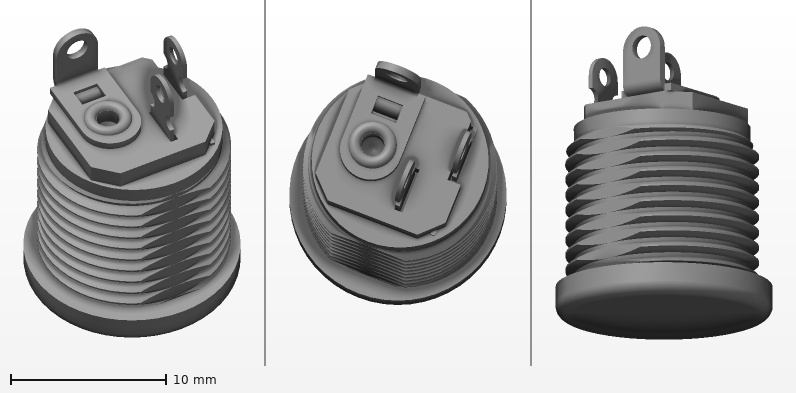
import cadquery as cq

FLANGE_RADIUS = 7.0
FLANGE_HEIGHT = 2.0
FLANGE_OFFSET_Y = -0.15
FLANGE_FILLET = 0.75

MAJOR_RADIUS = 6.25
CORE_RADIUS = 5.7
FLAT_HALF_WIDTH = CORE_RADIUS
PITCH = 1.0
CREST_WIDTH = PITCH / 8
ROOT_GAP = PITCH / 4
CREST_PHASE = PITCH / 4
ROOT_OVERLAP = 0.1
THREAD_TOP = 11.5
LIMIT_MARGIN = 0.1
COLLAR_TOP = 12.5

BLOCK_TOP = 13.7
BLOCK_HALF_WIDTH = 4.35
BLOCK_BACK = 4.3
BLOCK_FRONT = -4.7
BLOCK_CHAMFER = 1.4
NOTCH_RIGHT = 0.27
NOTCH_FRONT = 3.38

LUG_WIDTH = 2.7
LUG_THICKNESS = 0.3
LUG_HOLE_DIAMETER = 1.2
LUG_HOLE_RISE = 0.1
LUG_BITE_DIAMETER = 1.2
LUG_BITE_DROP = 1.45
REAR_LUG_X = -1.37
REAR_LUG_FRONT = 3.58
REAR_LUG_ARC_Z = 16.05
MIDDLE_LUG_X = 1.86
MIDDLE_LUG_FRONT = 0.92
MIDDLE_LUG_ARC_Z = 16.65
STRIP_HALF_LENGTH = 3.8
STRIP_HEIGHT = 0.2
COLLAR_SLOT_DEPTH = 1.0
LUG_SLOT_LEFT = 0.31
LUG_SLOT_RIGHT = 3.33
LUG_SLOT_BACK = 1.46

CONTACT_Y = -1.9
PLATE_THICKNESS = 0.5
PLATE_TOP = BLOCK_TOP + PLATE_THICKNESS
PLATE_LEFT = -4.23
PLATE_ARC_X = 0.3
PLATE_HALF_WIDTH = 2.0
BEND_INNER_RADIUS = 0.25
BEND_OUTER_RADIUS = BEND_INNER_RADIUS + PLATE_THICKNESS
BENT_LUG_LEFT = -4.71
BENT_LUG_WIDTH = 3.0
BENT_LUG_TOP = 18.1
BENT_LUG_HOLE_DIAMETER = 1.5
BENT_LUG_HOLE_RISE = 0.15

WINDOW_LEFT = -3.15
WINDOW_RIGHT = -1.9
WINDOW_WIDTH = 1.73
TONGUE_BEND_X = -2.9
TONGUE_DROP = 0.25
TONGUE_TOP = PLATE_TOP - TONGUE_DROP
TONGUE_FACE_X = TONGUE_BEND_X + PLATE_THICKNESS
TONGUE_SLOT_RIGHT = -2.19

RIVET_OUTER_RADIUS = 1.57
RIVET_HOLE_RADIUS = 0.75
RIVET_TOP = 14.5
ROLL_RADIUS = (RIVET_OUTER_RADIUS - RIVET_HOLE_RADIUS) / 2
ROLL_CENTER_Z = RIVET_TOP - ROLL_RADIUS
RIVET_HOLE_DEPTH = 1.0
RIVET_CONE_DEPTH = 0.4


def box(x_min, x_max, y_min, y_max, z_min, z_max):
    """Axis-aligned box between the given limits."""
    size = (x_max - x_min, y_max - y_min, z_max - z_min)
    return cq.Workplane("XY").box(*size, centered=False).translate((x_min, y_min, z_min))


def cylinder_y(diameter, x, z, y_min, y_max):
    """Cylinder along Y."""
    circle = cq.Workplane("XZ", origin=(x, y_min, z)).circle(diameter / 2)
    return circle.extrude(y_min - y_max)


def make_flange():
    disc = cq.Workplane("XY").center(0, FLANGE_OFFSET_Y).circle(FLANGE_RADIUS).extrude(FLANGE_HEIGHT)
    return disc.faces("<Z").edges().fillet(FLANGE_FILLET)


def make_thread_limits():
    """Space open to the thread: between the flats, with a 45 degree lead-in at the top."""
    limit_radius = MAJOR_RADIUS + LIMIT_MARGIN
    lead_in = limit_radius - CORE_RADIUS
    space = cq.Workplane("XY", origin=(0, 0, FLANGE_HEIGHT)).circle(limit_radius)
    space = space.extrude(THREAD_TOP - FLANGE_HEIGHT).faces(">Z").edges().chamfer(lead_in)
    flats = box(-FLAT_HALF_WIDTH, FLAT_HALF_WIDTH, -FLANGE_RADIUS, FLANGE_RADIUS,
                FLANGE_HEIGHT, THREAD_TOP)
    return space.intersect(flats)


def make_thread_ridge():
    """Right-handed 60 degree ridge, trimmed to the flats and to the threaded length."""
    depth = MAJOR_RADIUS - CORE_RADIUS
    half_crest = CREST_WIDTH / 2
    half_base = (PITCH - ROOT_GAP) / 2
    half_buried = half_base + (half_base - half_crest) * ROOT_OVERLAP / depth
    buried_radius = CORE_RADIUS - ROOT_OVERLAP
    start_z = FLANGE_HEIGHT - PITCH
    turns_height = THREAD_TOP + PITCH - start_z

    helix = cq.Wire.makeHelix(PITCH, turns_height, CORE_RADIUS)
    profile = cq.Workplane("XZ").polyline([
        (buried_radius, -half_buried),
        (MAJOR_RADIUS, -half_crest),
        (MAJOR_RADIUS, half_crest),
        (buried_radius, half_buried),
    ]).close()
    ridge = profile.sweep(cq.Workplane(obj=helix), isFrenet=True)
    ridge = ridge.rotate((0, 0, 0), (0, 0, 1), 180)
    ridge = ridge.translate((0, 0, start_z + CREST_PHASE))
    return ridge.intersect(make_thread_limits())


def make_barrel():
    core = cq.Workplane("XY").circle(CORE_RADIUS).extrude(COLLAR_TOP)
    return core.union(make_thread_ridge())


def make_contact_window(right, z_min, z_max):
    """Space above and beside the tongue, open to the given right end."""
    half_width = WINDOW_WIDTH / 2
    return box(WINDOW_LEFT, right, CONTACT_Y - half_width, CONTACT_Y + half_width, z_min, z_max)


def make_block():
    block = box(-BLOCK_HALF_WIDTH, BLOCK_HALF_WIDTH, BLOCK_FRONT, BLOCK_BACK, COLLAR_TOP, BLOCK_TOP)
    block = block.edges("|Z").chamfer(BLOCK_CHAMFER)
    notch = box(-BLOCK_HALF_WIDTH, NOTCH_RIGHT, NOTCH_FRONT, BLOCK_BACK, COLLAR_TOP, BLOCK_TOP)
    lug_slot = box(LUG_SLOT_LEFT, LUG_SLOT_RIGHT, MIDDLE_LUG_FRONT, LUG_SLOT_BACK,
                   COLLAR_TOP, BLOCK_TOP)
    tongue_slot = make_contact_window(TONGUE_SLOT_RIGHT, COLLAR_TOP, BLOCK_TOP)
    return block.cut(notch).cut(lug_slot).cut(tongue_slot)


def make_lug(center_x, front_y, arc_z):
    """Upright lug with a round end, an eyelet and a round bite in each side."""
    back_y = front_y + LUG_THICKNESS
    half_width = LUG_WIDTH / 2
    lug = box(center_x - half_width, center_x + half_width, front_y, back_y, COLLAR_TOP, arc_z)
    lug = lug.union(cylinder_y(LUG_WIDTH, center_x, arc_z, front_y, back_y))
    lug = lug.cut(cylinder_y(LUG_HOLE_DIAMETER, center_x, arc_z + LUG_HOLE_RISE, front_y, back_y))
    for side in (-1, 1):
        bite_x = center_x + side * half_width
        lug = lug.cut(cylinder_y(LUG_BITE_DIAMETER, bite_x, arc_z - LUG_BITE_DROP, front_y, back_y))
    return lug


def make_foot_strip():
    """Low strip on the collar, in line with the rear lug."""
    return box(-STRIP_HALF_LENGTH, STRIP_HALF_LENGTH, REAR_LUG_FRONT, REAR_LUG_FRONT + LUG_THICKNESS,
               COLLAR_TOP, COLLAR_TOP + STRIP_HEIGHT)


def make_collar_slot():
    """Narrow slot sunk into the collar between the block and the rear lug."""
    return box(-STRIP_HALF_LENGTH, NOTCH_RIGHT, NOTCH_FRONT, REAR_LUG_FRONT,
               COLLAR_TOP - COLLAR_SLOT_DEPTH, COLLAR_TOP)


def make_contact_plate():
    """Plate with a round right end, and a window over the tongue."""
    y_min = CONTACT_Y - PLATE_HALF_WIDTH
    y_max = CONTACT_Y + PLATE_HALF_WIDTH
    plate = box(PLATE_LEFT, PLATE_ARC_X, y_min, y_max, BLOCK_TOP, PLATE_TOP)
    round_end = cq.Workplane("XY", origin=(PLATE_ARC_X, CONTACT_Y, BLOCK_TOP))
    plate = plate.union(round_end.circle(PLATE_HALF_WIDTH).extrude(PLATE_THICKNESS))
    return plate.cut(make_contact_window(WINDOW_RIGHT, BLOCK_TOP, PLATE_TOP))


def make_tongue():
    """Flat strip that bends down into the block, filled in beneath."""
    return (
        cq.Workplane("XZ", origin=(0, CONTACT_Y - WINDOW_WIDTH / 2, 0))
        .moveTo(WINDOW_LEFT, COLLAR_TOP)
        .lineTo(WINDOW_LEFT, TONGUE_TOP)
        .lineTo(TONGUE_BEND_X, TONGUE_TOP)
        .radiusArc((TONGUE_FACE_X, TONGUE_TOP - PLATE_THICKNESS), PLATE_THICKNESS)
        .lineTo(TONGUE_FACE_X, COLLAR_TOP)
        .close()
        .extrude(-WINDOW_WIDTH)
    )


def make_bent_lug():
    """Lug rising from the plate through a quarter bend, with a round end and an eyelet."""
    y_min = CONTACT_Y - BENT_LUG_WIDTH / 2
    right = BENT_LUG_LEFT + PLATE_THICKNESS
    bend_x = BENT_LUG_LEFT + BEND_OUTER_RADIUS
    bend_z = BLOCK_TOP + BEND_OUTER_RADIUS
    arc_z = BENT_LUG_TOP - BENT_LUG_WIDTH / 2

    lug = (
        cq.Workplane("XZ", origin=(0, y_min, 0))
        .moveTo(BENT_LUG_LEFT, arc_z)
        .lineTo(right, arc_z)
        .lineTo(right, bend_z)
        .radiusArc((bend_x, PLATE_TOP), -BEND_INNER_RADIUS)
        .lineTo(bend_x, BLOCK_TOP)
        .radiusArc((BENT_LUG_LEFT, bend_z), BEND_OUTER_RADIUS)
        .close()
        .extrude(-BENT_LUG_WIDTH)
    )
    end_plane = cq.Workplane("YZ", origin=(BENT_LUG_LEFT, CONTACT_Y, arc_z))
    round_end = end_plane.circle(BENT_LUG_WIDTH / 2).extrude(PLATE_THICKNESS)
    eyelet = end_plane.center(0, BENT_LUG_HOLE_RISE).circle(BENT_LUG_HOLE_DIAMETER / 2)
    return lug.union(round_end).cut(eyelet.extrude(PLATE_THICKNESS))


def revolve_at_rivet(sketch):
    """Revolve a radius-height outline about the rivet axis."""
    return sketch.close().revolve(360, (0, 0, 0), (0, 1, 0)).translate((0, CONTACT_Y, 0))


def make_rivet_head():
    roll_center_radius = RIVET_HOLE_RADIUS + ROLL_RADIUS
    outline = (
        cq.Workplane("XZ")
        .moveTo(0, BLOCK_TOP)
        .lineTo(RIVET_OUTER_RADIUS, BLOCK_TOP)
        .lineTo(RIVET_OUTER_RADIUS, ROLL_CENTER_Z)
        .threePointArc((roll_center_radius, RIVET_TOP), (RIVET_HOLE_RADIUS, ROLL_CENTER_Z))
        .lineTo(0, ROLL_CENTER_Z)
    )
    return revolve_at_rivet(outline)


def make_rivet_hole():
    """Straight hole with a conical bottom, also clearing the plate inside the rolled rim."""
    cone_top = PLATE_TOP - RIVET_HOLE_DEPTH
    outline = (
        cq.Workplane("XZ")
        .moveTo(0, RIVET_TOP)
        .lineTo(RIVET_HOLE_RADIUS, RIVET_TOP)
        .lineTo(RIVET_HOLE_RADIUS, cone_top)
        .lineTo(0, cone_top - RIVET_CONE_DEPTH)
    )
    return revolve_at_rivet(outline)


result = (
    make_barrel()
    .cut(make_collar_slot())
    .union(make_flange())
    .union(make_block())
    .union(make_foot_strip())
    .union(make_lug(REAR_LUG_X, REAR_LUG_FRONT, REAR_LUG_ARC_Z))
    .union(make_lug(MIDDLE_LUG_X, MIDDLE_LUG_FRONT, MIDDLE_LUG_ARC_Z))
    .union(make_contact_plate())
    .union(make_tongue())
    .union(make_bent_lug())
    .union(make_rivet_head())
    .cut(make_rivet_hole())
)